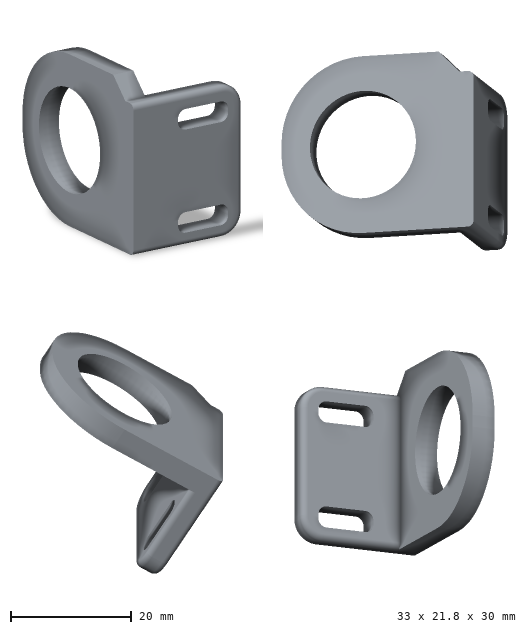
import cadquery as cq
import math

length = 33.0
height = 30.0
thickness = 4.0
corner_radius = 14.0
bore_diameter = 18.2
bevel = 6.0

flange_depth = 21.8
flange_height = 26.4
flange_corner_radius = 4.0
edge_radius = 1.0

slot_length = 10.0
slot_width = 3.6
slot_corner_radius = 1.5
slot_spacing = 18.0
slot_center_y = 13.9
lower_slot_z = 4.0

flange_x = length - thickness


def make_plate():
    """Plate with two large round corners, a bevelled corner and a bore."""
    arc_offset = corner_radius * math.sqrt(0.5)
    near = corner_radius - arc_offset
    outline = (
        cq.Workplane("XZ")
        .moveTo(corner_radius, 0)
        .lineTo(length - edge_radius, 0)
        .radiusArc((length, edge_radius), -edge_radius)
        .lineTo(length, height - bevel)
        .lineTo(length - bevel, height)
        .lineTo(corner_radius, height)
        .threePointArc((near, height - near), (0, height - corner_radius))
        .lineTo(0, corner_radius)
        .threePointArc((near, near), (corner_radius, 0))
        .close()
    )
    bore = (
        cq.Workplane("XZ")
        .center(corner_radius, height / 2)
        .circle(bore_diameter / 2)
        .extrude(-thickness)
    )
    return outline.extrude(-thickness).cut(bore)


def make_flange():
    """Upright flange with round rear corners and rounded long edges."""
    body = cq.Workplane("XY").box(thickness, flange_depth, flange_height, centered=False)
    body = body.edges("|X and >Y").fillet(flange_corner_radius)
    body = body.faces("<X or >X").edges("not <Y").fillet(edge_radius)
    return body.translate((flange_x, 0, 0))


def make_slot(center_z):
    """Rounded slot cutter passing through the flange along X."""
    return (
        cq.Workplane("XY")
        .box(thickness, slot_length, slot_width)
        .edges("|X")
        .fillet(slot_corner_radius)
        .translate((flange_x + thickness / 2, slot_center_y, center_z))
    )


result = make_plate().union(make_flange())
for center_z in (lower_slot_z, lower_slot_z + slot_spacing):
    result = result.cut(make_slot(center_z))